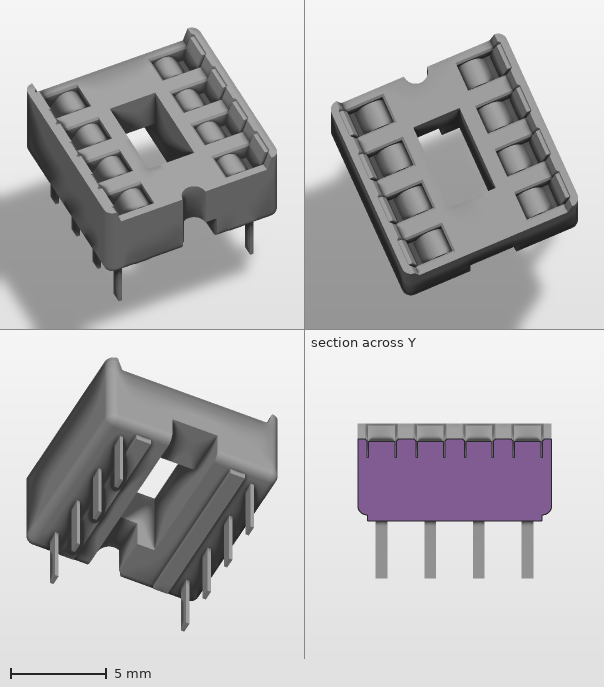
import cadquery as cq
import math

pitch = 2.54
pins_per_row = 4
row_spacing = 3 * pitch
length = pins_per_row * pitch
width = 10.0
overall_height = 8.1
edge_radius = 0.5
foot_height = 0.33
body_height = 4.78
body_top = foot_height + body_height

rim_height = 0.8
rim_top_width = 0.5
rim_slope_run = 0.27
deck_z = body_top - rim_height
rim_slope = math.atan2(rim_slope_run, rim_height)

window_length = 4.72
opening_width = 2.64
slot_height = 1.59
slot_wall_y = -0.31
notch_radius = 0.65

foot_length = length - 2 * edge_radius
foot_width = 0.85
foot_spacing = 5.48

pocket_width = 1.5
pocket_depth_in_rim = 0.12
pocket_inner_y = 2.11
pocket_chamfer = 0.11
floor_depth = 0.95
floor_z = deck_z - floor_depth
lower_wall_run = 0.16

contact_width = 1.4
plate_thickness = 0.2
plate_top_gap = 0.1
dome_outer_radius = 0.7
dome_inner_radius = 0.77
dome_centre_y = 2.82
dome_top_gap = 0.12
dome_top_z = deck_z - dome_top_gap
dome_ramp_angle = math.radians(57)

pin_width = 0.62
pin_thickness = 0.2
pin_tip_z = body_top - overall_height

sides = (1, -1)
pin_xs = [(i - (pins_per_row - 1) / 2) * pitch for i in range(pins_per_row)]


def box(x_range, y_range, z_range):
    """Axis-aligned box spanning the three given ranges."""
    size = [high - low for low, high in (x_range, y_range, z_range)]
    corner = (x_range[0], y_range[0], z_range[0])
    return cq.Workplane("XY").box(*size, centered=False).translate(corner)


def along_x(profile, extent):
    """Extrude a closed YZ profile symmetrically about X = 0."""
    return profile.close().extrude(extent / 2, both=True)


def place(shape, x, side):
    """Move a shape modelled for the +Y row to a pin position."""
    if side < 0:
        shape = shape.mirror("XZ")
    return shape.translate((x, 0, 0))


def rim_face_y(z, offset):
    """Y of the plane lying a perpendicular offset behind the sloped rim face."""
    top_y = width / 2 - rim_top_width + offset / math.cos(rim_slope)
    return top_y - (body_top - z) * math.tan(rim_slope)


def make_housing():
    height_range = (foot_height, body_top)
    body = box((-length / 2, length / 2), (-width / 2, width / 2), height_range)
    body = body.edges("|Z").fillet(edge_radius)
    body = body.faces("<Z").edges().fillet(edge_radius)

    rim_top_y = rim_face_y(body_top, 0)
    rim_foot_y = rim_face_y(deck_z, 0)
    channel = cq.Workplane("YZ").polyline([
        (-rim_foot_y, deck_z),
        (rim_foot_y, deck_z),
        (rim_top_y, body_top),
        (-rim_top_y, body_top),
    ])
    return body.cut(along_x(channel, length))


def cut_openings(body):
    half_window = window_length / 2
    half_opening = opening_width / 2
    slot_z = (foot_height, foot_height + slot_height)
    window = box((-half_window, half_window), (-half_opening, half_opening), (foot_height, body_top))
    wide_slot = box((-length / 2, half_window), (-half_opening, half_opening), slot_z)
    narrow_slot = box((half_window, length / 2), (slot_wall_y, half_opening), slot_z)
    notch = cq.Workplane("XY").center(length / 2, 0).circle(notch_radius).extrude(body_top)
    return body.cut(window).cut(wide_slot).cut(narrow_slot).cut(notch)


def wall_points(offset, top_z):
    """Bent wall behind the contact, from the floor up, as YZ points."""
    bend_y = rim_face_y(deck_z, offset)
    return [
        (bend_y - lower_wall_run, floor_z),
        (bend_y, deck_z),
        (rim_face_y(top_z, offset), top_z),
    ]


def make_pocket():
    points = wall_points(pocket_depth_in_rim, body_top)
    points += [(pocket_inner_y, body_top), (pocket_inner_y, floor_z)]
    return along_x(cq.Workplane("YZ").polyline(points), pocket_width)


def make_mouth_bevel(side):
    """Cutter that bevels the pocket mouth along the deck and up the rim face."""
    half_inner = pocket_width / 2
    half_outer = half_inner + pocket_chamfer
    start_y = pocket_inner_y - pocket_chamfer
    path = cq.Workplane("YZ").polyline([
        (start_y, deck_z),
        (rim_face_y(deck_z, 0), deck_z),
        (rim_face_y(body_top + rim_height, 0), body_top + rim_height),
    ])
    section = cq.Workplane("XZ", origin=(0, start_y, deck_z)).polyline([
        (-half_inner, -pocket_chamfer),
        (half_inner, -pocket_chamfer),
        (half_outer, 0),
        (-half_outer, 0),
    ])
    bevel = section.close().sweep(path, transition="right")

    inner_mouth_y = start_y if side > 0 else pocket_inner_y
    reach = cq.Workplane("YZ").polyline([
        (pocket_inner_y, floor_z),
        (pocket_inner_y, deck_z - pocket_chamfer),
        (inner_mouth_y, deck_z),
        (inner_mouth_y, body_top),
        (width / 2, body_top),
        (width / 2, floor_z),
    ])
    return bevel.intersect(along_x(reach, 2 * half_outer))


def make_plate():
    back = pocket_depth_in_rim
    front = back - plate_thickness
    top_z = body_top - plate_top_gap
    points = wall_points(back, top_z) + wall_points(front, top_z)[::-1]
    return along_x(cq.Workplane("YZ").polyline(points), contact_width)


def on_dome(radius, angle):
    """YZ point on a dome arc, with the angle measured from the crest."""
    y = dome_centre_y + radius * math.sin(angle)
    return y, dome_top_z - radius * (1 - math.cos(angle))


def make_dome():
    """Spring crest of two arcs meeting at the top, with a straight ramp on the rim side."""
    inner_angle = math.asin((pocket_inner_y - dome_centre_y) / dome_inner_radius)
    crest = (dome_centre_y, dome_top_z)
    ramp_y, ramp_z = on_dome(dome_outer_radius, dome_ramp_angle)
    ramp_foot_y = ramp_y + (ramp_z - floor_z) / math.tan(dome_ramp_angle)
    profile = (
        cq.Workplane("YZ")
        .moveTo(pocket_inner_y, floor_z)
        .lineTo(*on_dome(dome_inner_radius, inner_angle))
        .threePointArc(on_dome(dome_inner_radius, inner_angle / 2), crest)
        .threePointArc(on_dome(dome_outer_radius, dome_ramp_angle / 2), (ramp_y, ramp_z))
        .lineTo(ramp_foot_y, floor_z)
    )
    return along_x(profile, contact_width)


def make_pin():
    y = row_spacing / 2
    return box(
        (-pin_width / 2, pin_width / 2),
        (y - pin_thickness / 2, y + pin_thickness / 2),
        (pin_tip_z, floor_z),
    )


def make_foot(side):
    y = side * foot_spacing / 2
    return box(
        (-foot_length / 2, foot_length / 2),
        (y - foot_width / 2, y + foot_width / 2),
        (0, foot_height),
    )


def cut_pockets(body):
    for side in sides:
        for x in pin_xs:
            body = body.cut(place(make_pocket(), x, side))
            body = body.cut(place(make_mouth_bevel(side), x, side))
    return body


result = make_housing()
result = cut_openings(result)
result = cut_pockets(result)
for side in sides:
    result = result.union(make_foot(side))
    for x in pin_xs:
        for feature in (make_plate(), make_dome(), make_pin()):
            result = result.union(place(feature, x, side))